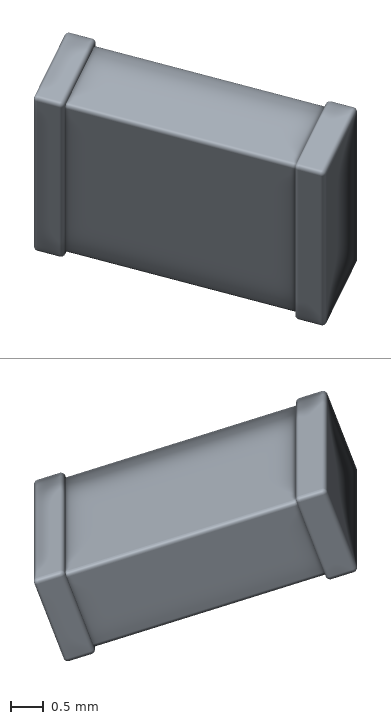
import cadquery as cq

length = 4.75
depth = 1.5
height = 3.45

cap_length = 0.505
edge_radius = 0.07
cap_overhang = edge_radius

body_length = length - 2 * cap_length
body_depth = depth - 2 * cap_overhang
body_height = height - 2 * cap_overhang
cap_center_offset = (length - cap_length) / 2


def make_body():
    """Chip body between the caps, with its four lengthwise edges rounded."""
    block = cq.Workplane("XY").box(body_length, body_depth, body_height)
    return block.edges("|X").fillet(edge_radius)


def make_end_cap(center_x):
    """Terminal block, rounded on every edge, that butts against one end of the body."""
    block = cq.Workplane("XY").box(cap_length, depth, height)
    return block.edges().fillet(edge_radius).translate((center_x, 0, 0))


body = make_body()
end_caps = [make_end_cap(side * cap_center_offset) for side in (-1, 1)]

result = cq.Compound.makeCompound([body.val(), *[cap.val() for cap in end_caps]])